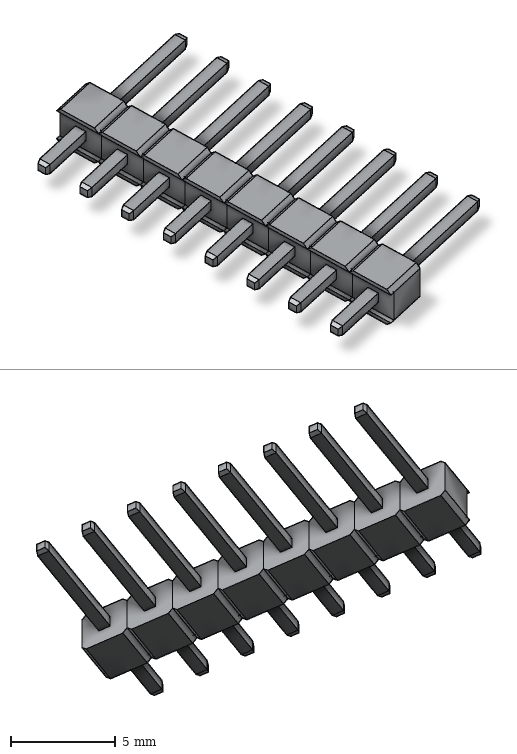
import cadquery as cq

position_count = 8
row_length = 20.32
pitch = row_length / position_count

cell_height = 2.4
cell_depth = 2.3
bevel = 0.25
lip_overhang = 0.25
wall_height = cell_height - 2 * bevel

pin_length = 11.1
pin_width = 0.63
rear_reach = 6.0
tip_length = 0.25
tip_inset = 0.08
end_width = pin_width - 2 * tip_inset

cell_back = cell_depth / 2
cell_front = -cell_depth / 2
pin_back = cell_back + rear_reach
pin_front = pin_back - pin_length


def make_cell():
    """Bevelled block whose front wall is set back between a top and a bottom lip."""
    block = (
        cq.Workplane("XY")
        .box(pitch, cell_depth, cell_height)
        .edges("|Y")
        .chamfer(bevel)
    )
    front_recess = (
        cq.Workplane("XY")
        .box(pitch, lip_overhang, wall_height)
        .translate((0, cell_front + lip_overhang / 2, 0))
    )
    return block.cut(front_recess)


def make_tip(base_y, end_y):
    """Tapered pin tip from the full section at base_y to the narrowed section at end_y."""
    return (
        cq.Workplane("XZ", origin=(0, base_y, 0))
        .rect(pin_width, pin_width)
        .workplane(offset=base_y - end_y)
        .rect(end_width, end_width)
        .loft(ruled=True)
    )


def make_pin():
    """Square pin with tapered tips at both ends."""
    shaft = (
        cq.Workplane("XY")
        .box(pin_width, pin_length - 2 * tip_length, pin_width)
        .translate((0, (pin_front + pin_back) / 2, 0))
    )
    front_tip = make_tip(pin_front + tip_length, pin_front)
    rear_tip = make_tip(pin_back - tip_length, pin_back)
    return shaft.union(front_tip).union(rear_tip)


def make_contact_unit(x):
    """One position of the row: a cell with its pin as a single solid."""
    return make_cell().union(make_pin()).translate((x, 0, 0))


contact_units = []
for index in range(position_count):
    x_center = (index - (position_count - 1) / 2) * pitch
    contact_units.append(make_contact_unit(x_center))

result = cq.Compound.makeCompound([unit.val() for unit in contact_units])